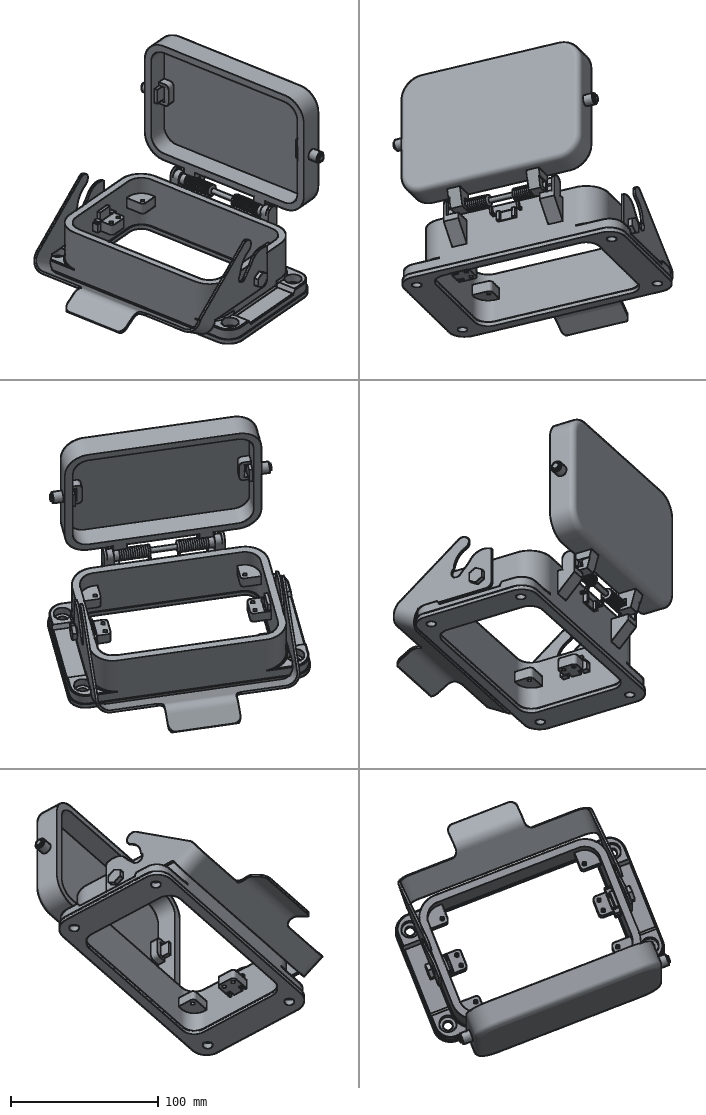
import cadquery as cq
import math

flange_length = 167.5
flange_width = 93.0
flange_lip_height = 3.4
flange_corner_radius = 11.9
flange_end_inset = 0.8
strip_height = 8.0
pad_height = 11.0
top_edge_chamfer = 0.7
pad_start_y = 23.8
pad_end_slope = 2.2
collar_rise = 1.7
collar_width = 1.0
screw_x = 73.9
screw_y = 35.2
screw_hole_diameter = 6.7
screw_recess_diameter = 11.7
screw_seat_height = 5.0

housing_length = 136.3
housing_width = 91.1
housing_height = 40.5
housing_corner_radius = 16.4
wall = 5.4
cavity_length = 125.3
cavity_width = 80.7
cavity_corner_radius = housing_corner_radius - wall
ledge_height = 3.4
ledge_inset = 0.8

carrier_top = 28.1
carrier_thickness = 7.9
carrier_bottom = carrier_top - carrier_thickness
carrier_inner_x = 48.4
carrier_corner_y = 27.3
carrier_middle_half_width = 7.2
carrier_edge_radius = 2.5
carrier_hole_x = 52.0
carrier_corner_hole_y = 31.0
carrier_middle_hole_y = 3.9
carrier_hole_diameter = 2.7
ear_half_width = 10.4
ear_depth = 4.2
ear_step = 1.3

nut_half_width = 5.5
nut_thickness = 2.3
nut_slot_depth = 4.5
nut_slot_half_width = 5.9
bridge_half_width = 3.7
bridge_height = 3.4

lid_length = 136.3
lid_front_y = 54.6
lid_back_y = 73.7
lid_top = 140.2
lid_bottom = 48.9
lid_wall = 5.4
lid_depth = 14.4
lid_corner_radius = 16.4
lid_edge_radius = 4.0
lid_height = lid_top - lid_bottom
lid_center_z = (lid_top + lid_bottom) / 2
lid_boss_half_height = 8.5
lid_boss_reach = 8.2
lid_boss_height = 5.7
lid_boss_edge_radius = 3.2
stud_y = 63.8
stud_end_x = 75.4
stud_radius = 4.0
stud_chamfer = 0.5
stud_tip_radius = 2.3
stud_tip_end_x = 76.5

pin_y = 54.0
pin_z = 40.9
pin_radius = 1.8
lug_inner_x = 30.8
lug_cheek_x = 35.0
lug_cap_x = 39.9
lug_outer_x = 41.9
lug_center_z = 42.7
lug_radius = 4.9
lug_seat_radius = 3.9
lug_seat_top = 46.2
lug_seat_back_y = pin_y + 1.7
lug_shelf_z = 34.5
lug_root_z = 16.5
lug_bend_z = 30.0
arm_inner_x = 25.1
arm_outer_x = 34.7
arm_hook_inset = 0.7
arm_block_bottom = 43.2
arm_gap_bottom = 38.2
arm_bottom = 35.3
arm_back_top_y = 68.0
arm_back_bottom_y = 64.2
arm_gap_y = 60.5
arm_front_y = 54.6
collar_radius = 4.0
spring_inner_x = 9.4
spring_radius = 4.2
spring_coils = 14
spring_pitch = (lug_inner_x - spring_inner_x) / spring_coils
leg_top_y = 51.3
leg_top_z = 39.5
leg_bend_y = 48.5
leg_bend_z = 32.8
stop_inner_x = 4.9
stop_width = 2.2
stop_depth = 3.0
stop_plate_depth = 0.8
stop_height = 6.7

nose_front = (10.2, 47.9)
nose_top = (3.9, 49.5)
nose_back = (-7.2, 42.7)
slot_front = (-14.2, 34.8)
slot_bottom = (-20.3, 34.8)
slot_back = (-19.6, 40.7)
throat_middle = (-17.1, 48.7)
throat_top = (-10.4, 54.8)
finger_tip = (-7.7, 60.1)
finger_back = (-15.5, 63.0)
heel_top = (-63.3, 26.6)
lever_half_width = 70.7
sheet = 1.7
lever_bend_radius = 9.9
lever_tilt = math.radians(31)
band_width = 18.6
band_bottom_y = -54.0
band_bottom_z = 6.5
band_depth = 9.4
lever_bottom_z = 17.8
toe_radius = 4.2
heel_bottom_y = -47.4
tab_half_width = 25.1
tab_straight = 2.7
tab_bend_radius = 7.9
tab_end_y = -92.5
tab_corner_radius = 4.9
tab_shoulder_radius = 5.4
lever_bolt_z = 27.8
lever_bolt_radius = 3.0
lever_washer_radius = 3.9
bolt_head_start_x = 71.5
bolt_head_end_x = 74.7
bolt_head_flats = 10.0

channel_height = 100.5
channel_reach = 134.0


def box(x0, x1, y0, y1, z0, z1):
    """Box between two opposite corners."""
    return cq.Workplane("XY").box(x1 - x0, y1 - y0, z1 - z0, centered=False).translate((x0, y0, z0))


def rounded_block(length, width, radius, z0, z1):
    """Centred upright block with rounded vertical edges."""
    block = cq.Workplane("XY", origin=(0, 0, z0)).rect(length, width).extrude(z1 - z0)
    return block.edges("|Z").fillet(radius)


def rod(x0, x1, y, z, radius):
    """Cylinder along X."""
    return cq.Workplane("YZ", origin=(x0, y, z)).circle(radius).extrude(x1 - x0)


def both_sides(body):
    """The body together with its mirror image in the YZ plane."""
    return body.union(body.mirror("YZ"))


def foot_collar(base_z):
    """Collar around the housing ends, tapering into their walls."""
    taper = math.degrees(math.atan(collar_width / collar_rise))
    outline = cq.Sketch().rect(housing_length + 2 * collar_width, housing_width)
    outline = outline.vertices().fillet(housing_corner_radius)
    return cq.Workplane("XY", origin=(0, 0, base_z)).placeSketch(outline).extrude(collar_rise, taper=taper)


def flange():
    upper_length = flange_length - 2 * flange_end_inset
    upper_radius = flange_corner_radius - flange_end_inset
    lip = rounded_block(flange_length, flange_width, flange_corner_radius, 0, flange_lip_height)
    strip = rounded_block(upper_length, housing_width, upper_radius, 0, strip_height)
    strip = strip.faces(">Z").edges().chamfer(top_edge_chamfer)

    pads = rounded_block(upper_length, housing_width, upper_radius, 0, pad_height)
    pads = pads.faces(">Z").edges().chamfer(top_edge_chamfer)
    trench = (
        cq.Workplane("YZ")
        .moveTo(-pad_start_y, 0)
        .lineTo(pad_start_y, 0)
        .lineTo(pad_start_y, strip_height)
        .lineTo(pad_start_y + pad_end_slope, pad_height)
        .lineTo(-pad_start_y - pad_end_slope, pad_height)
        .lineTo(-pad_start_y, strip_height)
        .close()
        .extrude(flange_length, both=True)
    )
    pads = pads.cut(trench)

    middle = box(-flange_length, flange_length, -pad_start_y, pad_start_y, 0, housing_height)
    high_collar = foot_collar(pad_height).cut(middle)
    low_collar = foot_collar(strip_height).intersect(middle)
    collars = high_collar.union(low_collar)

    screws = [(x, y) for x in (-screw_x, screw_x) for y in (-screw_y, screw_y)]
    holes = cq.Workplane("XY").pushPoints(screws).circle(screw_hole_diameter / 2).extrude(pad_height)
    recesses = cq.Workplane("XY", origin=(0, 0, screw_seat_height)).pushPoints(screws)
    recesses = recesses.circle(screw_recess_diameter / 2).extrude(housing_height)
    return lip.union(strip).union(pads).union(collars).cut(holes).cut(recesses)


def carrier_pad(center_y, width, rounded_edges):
    """Pad reaching from the housing end into the cavity, its free edges rounded."""
    pad = box(carrier_inner_x, (housing_length - wall) / 2, center_y - width / 2, center_y + width / 2,
              carrier_bottom, carrier_top)
    return pad.edges(rounded_edges).fillet(carrier_edge_radius)


def nut_slot(y, z, half_length_y, half_length_z):
    """Slot for a nut on the inner face of an end wall."""
    wall_x = cavity_length / 2
    return box(wall_x - nut_slot_depth, wall_x, y - half_length_y, y + half_length_y,
               z - half_length_z, z + half_length_z)


def nut(y, z):
    """Square nut on the inner face of an end wall."""
    wall_x = cavity_length / 2
    return box(wall_x - nut_thickness, wall_x + wall / 2, y - nut_half_width, y + nut_half_width,
               z - nut_half_width, z + nut_half_width)


def housing():
    shell = rounded_block(housing_length, housing_width, housing_corner_radius, 0, housing_height)
    cavity = rounded_block(cavity_length, cavity_width, cavity_corner_radius, ledge_height, housing_height)
    mouth = rounded_block(cavity_length - 2 * ledge_inset, cavity_width - 2 * ledge_inset,
                          cavity_corner_radius - ledge_inset, 0, housing_height)
    base = flange().union(shell).cut(cavity).cut(mouth)

    corner_width = (housing_width - wall) / 2 - carrier_corner_y
    corner = carrier_pad(carrier_corner_y + corner_width / 2, corner_width, "|Z and <X and <Y")
    middle = carrier_pad(0, 2 * carrier_middle_half_width, "|Z and <X")
    slot = nut_slot(0, carrier_top, nut_slot_half_width, carrier_thickness)
    bridge = box(carrier_inner_x + carrier_edge_radius, cavity_length / 2,
                 -bridge_half_width, bridge_half_width, carrier_bottom, carrier_bottom + bridge_height)
    middle = middle.cut(slot).union(bridge).union(nut(0, lever_bolt_z))
    pads = both_sides(corner.union(corner.mirror("XZ")).union(middle)).intersect(shell)
    hole_rows = (-carrier_corner_hole_y, -carrier_middle_hole_y, carrier_middle_hole_y, carrier_corner_hole_y)
    hole_places = [(x, y) for x in (-carrier_hole_x, carrier_hole_x) for y in hole_rows]
    holes = cq.Workplane("XY").pushPoints(hole_places).circle(carrier_hole_diameter / 2).extrude(carrier_top)

    wall_x = -cavity_length / 2
    ear_roots = (wall_x - wall / 2, wall_x + ear_depth)
    ears = box(*ear_roots, -ear_half_width, ear_half_width, carrier_bottom, carrier_top - ear_step)
    ear_tops_half_width = ear_half_width - ear_step
    ears = ears.union(box(*ear_roots, -ear_tops_half_width, ear_tops_half_width, carrier_bottom, carrier_top))
    ears = ears.cut(slot.mirror("YZ"))
    return base.union(pads.cut(holes)).union(ears)


def lid():
    center_y = (lid_front_y + lid_back_y) / 2
    shell = cq.Workplane("XY").box(lid_length, lid_back_y - lid_front_y, lid_height)
    shell = shell.translate((0, center_y, lid_center_z))
    shell = shell.edges("|Y").fillet(lid_corner_radius).faces(">Y").edges().fillet(lid_edge_radius)
    cavity = cq.Workplane("XY").box(cavity_length, lid_depth, lid_height - 2 * lid_wall)
    cavity = cavity.edges("|Y").fillet(lid_corner_radius - lid_wall)
    cavity = cavity.translate((0, lid_front_y + lid_depth / 2, lid_center_z))

    floor_y = lid_front_y + lid_depth
    wall_x = cavity_length / 2
    boss = box(wall_x - lid_boss_reach, wall_x + wall / 2,
               floor_y - lid_boss_height, floor_y + lid_edge_radius / 2,
               lid_center_z - lid_boss_half_height, lid_center_z + lid_boss_half_height)
    boss = boss.edges("|Y and <X").fillet(lid_boss_edge_radius)
    boss = boss.cut(nut_slot(stud_y, lid_center_z, floor_y - stud_y, nut_slot_half_width))

    stud = rod(wall_x + wall / 2, stud_end_x, stud_y, lid_center_z, stud_radius)
    stud = stud.faces(">X").chamfer(stud_chamfer)
    stud = stud.union(rod(stud_end_x, stud_tip_end_x, stud_y, lid_center_z, stud_tip_radius))
    return shell.cut(cavity).union(both_sides(boss.union(nut(stud_y, lid_center_z)).union(stud)))


def lug_bracket():
    """Bracket on the back of the housing, flat on top and sloped underneath."""
    root_y = housing_width / 2 - wall / 2
    back_y = pin_y + lug_radius
    bracket = (
        cq.Workplane("YZ", origin=(lug_inner_x, 0, 0))
        .moveTo(root_y, lug_root_z)
        .lineTo(housing_width / 2, lug_root_z)
        .lineTo(back_y, lug_bend_z)
        .lineTo(back_y, lug_shelf_z)
        .lineTo(root_y, lug_shelf_z)
        .close()
    )
    return bracket.extrude(lug_outer_x - lug_inner_x)


def lug_cap():
    """Round-topped outer wall of the lug."""
    wall_plate = box(lug_cap_x, lug_outer_x, pin_y - lug_radius, pin_y + lug_radius,
                     lug_shelf_z, lug_center_z)
    return wall_plate.union(rod(lug_cap_x, lug_outer_x, pin_y, lug_center_z, lug_radius))


def lug_seat():
    """Lower seat for the pin inside the cap, rounded along its front top edge."""
    seat = box(lug_cheek_x, lug_cap_x, pin_y - lug_radius, lug_seat_back_y, lug_shelf_z, lug_seat_top)
    return seat.edges("|X and >Z and <Y").fillet(lug_seat_radius)


def hinge_arm():
    """Arm under the lid: a block on top and a hook passing behind and below the pin."""
    arm = (
        cq.Workplane("YZ", origin=(arm_inner_x, 0, 0))
        .moveTo(arm_front_y, lid_bottom + lid_wall)
        .lineTo(arm_front_y, arm_block_bottom)
        .lineTo(arm_gap_y, arm_block_bottom)
        .lineTo(arm_gap_y, arm_gap_bottom)
        .lineTo(pin_y, arm_gap_bottom)
        .lineTo(pin_y, arm_bottom)
        .lineTo(arm_back_bottom_y, arm_bottom)
        .lineTo(arm_back_top_y, lid_bottom)
        .lineTo(arm_back_top_y, lid_bottom + lid_wall)
        .close()
        .extrude(arm_outer_x - arm_inner_x)
    )
    return arm.cut(box(arm_outer_x - arm_hook_inset, arm_outer_x, 0, lid_back_y, 0, arm_block_bottom))


def spring():
    """Coil spring as a sleeve with one round ridge per turn, and a leg resting on the housing."""
    groove_radius = spring_radius - spring_pitch / 2
    sleeve = cq.Workplane("XY").moveTo(spring_inner_x, 0).lineTo(spring_inner_x, groove_radius)
    for turn in range(spring_coils):
        start = spring_inner_x + turn * spring_pitch
        crest = (start + spring_pitch / 2, spring_radius)
        sleeve = sleeve.threePointArc(crest, (start + spring_pitch, groove_radius))
    sleeve = sleeve.lineTo(lug_inner_x, 0).close().revolve(360, (0, 0, 0), (1, 0, 0))
    leg = (
        cq.Workplane("YZ", origin=(spring_inner_x, 0, 0))
        .moveTo(leg_top_y, leg_top_z)
        .lineTo(leg_bend_y, leg_bend_z + spring_pitch)
        .lineTo(housing_width / 2 - wall / 2, leg_bend_z + spring_pitch)
        .lineTo(housing_width / 2 - wall / 2, leg_bend_z)
        .lineTo(leg_bend_y + spring_pitch, leg_bend_z)
        .lineTo(leg_top_y + spring_pitch, leg_top_z)
        .close()
        .extrude(spring_pitch)
    )
    return sleeve.translate((0, pin_y, pin_z)).union(leg)


def hinge():
    lug = lug_bracket().union(lug_cap()).union(lug_seat())
    collar = rod(lug_inner_x, lug_cheek_x, pin_y, pin_z, collar_radius)
    stop_root_y = housing_width / 2 - wall / 2
    stop = box(stop_inner_x, stop_inner_x + stop_width, stop_root_y, housing_width / 2 + stop_depth,
               lug_shelf_z - stop_height, lug_shelf_z)
    stop_plate = box(0, stop_inner_x, stop_root_y, housing_width / 2 + stop_plate_depth,
                     lug_shelf_z - stop_height, lug_shelf_z)
    half = lug.union(hinge_arm()).union(collar).union(spring()).union(stop).union(stop_plate)
    pin = rod(-lug_outer_x, lug_outer_x, pin_y, pin_z, pin_radius)
    return both_sides(half).union(pin)


def band_point(along, inward):
    """Point (y, z) given along the tilted band of the lever and inward from its outer face."""
    y = band_bottom_y - along * math.cos(lever_tilt) + inward * math.sin(lever_tilt)
    z = band_bottom_z + along * math.sin(lever_tilt) + inward * math.cos(lever_tilt)
    return y, z


def lever_silhouette():
    """Side outline of the lever: rounded nose, hook slot, finger and band."""
    outline = (
        cq.Workplane("YZ")
        .moveTo(*nose_front)
        .threePointArc(nose_top, nose_back)
        .lineTo(*slot_front)
        .threePointArc(slot_bottom, slot_back)
        .threePointArc(throat_middle, throat_top)
        .threePointArc(finger_tip, finger_back)
        .lineTo(*heel_top)
        .lineTo(*band_point(band_width, band_depth))
        .lineTo(*band_point(band_width, 0))
        .lineTo(*band_point(0, 0))
        .lineTo(*band_point(0, band_depth))
        .lineTo(heel_bottom_y, lever_bottom_z)
        .lineTo(nose_front[0] - toe_radius, lever_bottom_z)
        .radiusArc((nose_front[0], lever_bottom_z + toe_radius), -toe_radius)
        .close()
    )
    return outline.extrude(lever_half_width, both=True)


def lever_channel(half_width, floor, bend_radius):
    """Bar along the band direction with its two floor corners rounded; one inside another leaves sheet."""
    band_plane = cq.Plane(
        origin=(0, band_bottom_y, band_bottom_z),
        xDir=(1, 0, 0),
        normal=(0, -math.cos(lever_tilt), math.sin(lever_tilt)),
    )
    flat = half_width - bend_radius
    sagitta = bend_radius * (1 - math.sqrt(0.5))
    outline = (
        cq.Workplane(band_plane)
        .moveTo(-half_width, channel_height)
        .lineTo(-half_width, floor + bend_radius)
        .threePointArc((-half_width + sagitta, floor + sagitta), (-flat, floor))
        .lineTo(flat, floor)
        .threePointArc((half_width - sagitta, floor + sagitta), (half_width, floor + bend_radius))
        .lineTo(half_width, channel_height)
        .close()
    )
    return outline.extrude(channel_reach, both=True)


def lever_tab():
    """Finger tab: the band sheet carried on and bent over a round back."""
    sine = math.sin(lever_tilt)
    cosine = math.cos(lever_tilt)
    center_y, center_z = band_point(band_width + tab_straight, -tab_bend_radius)
    outer_radius = tab_bend_radius + sheet
    bend_end_y = center_y - outer_radius * sine
    slope_length = (bend_end_y - tab_end_y) / cosine

    def slope_point(radius, distance):
        return center_y - radius * sine - distance * cosine, center_z + radius * cosine - distance * sine

    profile = (
        cq.Workplane("YZ")
        .moveTo(*band_point(band_width - sheet, 0))
        .lineTo(*band_point(band_width + tab_straight, 0))
        .threePointArc((center_y, center_z + tab_bend_radius), slope_point(tab_bend_radius, 0))
        .lineTo(*slope_point(tab_bend_radius, slope_length))
        .lineTo(*slope_point(outer_radius, slope_length))
        .lineTo(*slope_point(outer_radius, 0))
        .threePointArc((center_y, center_z + outer_radius), band_point(band_width + tab_straight, sheet))
        .lineTo(*band_point(band_width - sheet, sheet))
        .close()
        .extrude(lever_half_width, both=True)
    )

    root_y = band_point(band_width, sheet)[0]
    tip = box(-tab_half_width, tab_half_width, tab_end_y, 0, 0, housing_height)
    tip = tip.edges("|Z and <Y").fillet(tab_corner_radius)
    shoulder_x = tab_half_width + tab_shoulder_radius
    shoulder_y = root_y - tab_shoulder_radius
    shoulders = box(-shoulder_x, shoulder_x, shoulder_y, 0, 0, housing_height)
    scoops = cq.Workplane("XY").pushPoints([(-shoulder_x, shoulder_y), (shoulder_x, shoulder_y)])
    scoops = scoops.circle(tab_shoulder_radius).extrude(housing_height)
    return profile.intersect(tip.union(shoulders.cut(scoops)))


def lever():
    outside = lever_channel(lever_half_width, 0, lever_bend_radius)
    inside = lever_channel(lever_half_width - sheet, sheet, lever_bend_radius - sheet)
    bent_sheet = outside.cut(inside).intersect(lever_silhouette())
    return bent_sheet.union(lever_tab())


def lever_bolt():
    """Pivot bolt of the lever, with a spacer washer and a hexagonal head standing on a corner."""
    inner_x = (housing_length - wall) / 2
    shank = rod(inner_x, bolt_head_start_x, 0, lever_bolt_z, lever_bolt_radius)
    washer = rod(inner_x, lever_half_width - sheet, 0, lever_bolt_z, lever_washer_radius)
    corner_diameter = bolt_head_flats / math.cos(math.radians(30))
    head = cq.Workplane("YZ", origin=(bolt_head_start_x, 0, lever_bolt_z))
    head = head.transformed(rotate=(0, 0, 90)).polygon(6, corner_diameter)
    return shank.union(washer).union(head.extrude(bolt_head_end_x - bolt_head_start_x))


result = housing().union(lid()).union(hinge()).union(both_sides(lever_bolt())).union(lever())